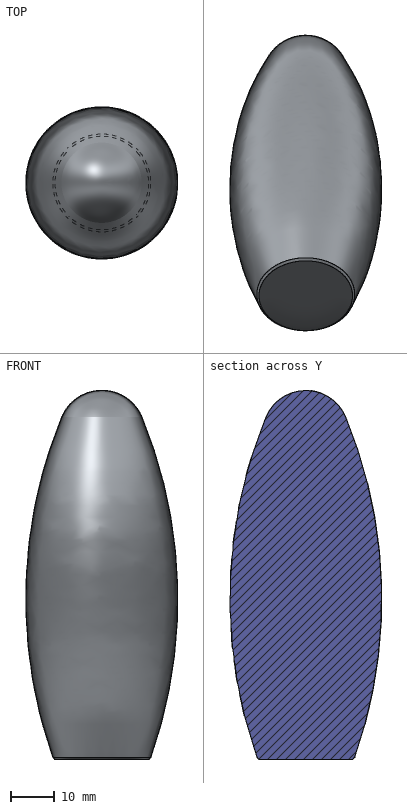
import cadquery as cq
import math

height = 85.0
max_diameter = 35.0
widest_height = 37.0
dome_radius = 10.0
base_chamfer = 0.5

max_radius = max_diameter / 2
dome_center_z = height - dome_radius

rise = dome_center_z - widest_height
side_radius = (rise**2 + max_radius**2 - dome_radius**2) / (2 * (max_radius - dome_radius))


def radius_at(z):
    """Radius of the barrel-shaped side at height z."""
    return max_radius - side_radius + math.sqrt(side_radius**2 - (z - widest_height) ** 2)


def make_grip():
    """Revolve the half profile: chamfered base, barrel side, tangent dome."""
    tangent_angle = math.asin(rise / (side_radius - dome_radius))
    tangent_z = dome_center_z + dome_radius * math.sin(tangent_angle)
    tangent_r = dome_radius * math.cos(tangent_angle)

    dome_mid_angle = (tangent_angle + math.pi / 2) / 2
    dome_mid_r = dome_radius * math.cos(dome_mid_angle)
    dome_mid_z = dome_center_z + dome_radius * math.sin(dome_mid_angle)

    side_start_r = radius_at(base_chamfer)
    profile = (
        cq.Workplane("XZ")
        .lineTo(side_start_r - base_chamfer, 0)
        .lineTo(side_start_r, base_chamfer)
        .threePointArc((max_radius, widest_height), (tangent_r, tangent_z))
        .threePointArc((dome_mid_r, dome_mid_z), (0, height))
        .close()
    )
    return profile.revolve(360, (0, 0, 0), (0, 1, 0))


result = make_grip()